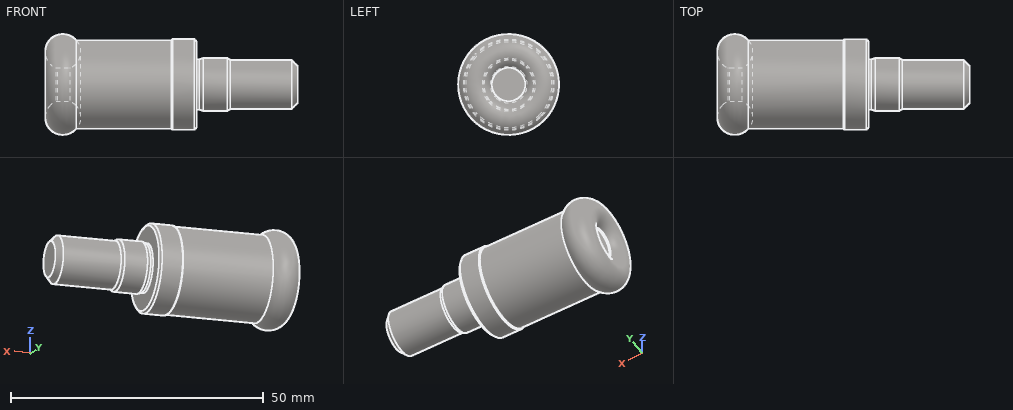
import cadquery as cq
import math

overall_length = 50.0

ring_outer_radius = 20.0 / 2
ring_tube_radius = 3.5
ring_centre_radius = ring_outer_radius - ring_tube_radius
ring_centre_x = ring_tube_radius

spigot_radius = 6.6 / 2
spigot_face_x = 2.4
head_radius = 17.6 / 2
collar_radius = 18.0 / 2
collar_start_x = 25.0
collar_end_x = 30.0
collar_rear_chamfer = 0.5
collar_front_chamfer = collar_radius - head_radius

neck_radius = 10.0 / 2
neck_length = 0.5
band_radius = 10.5 / 2
band_lead_in_length = 0.75
band_straight_end_x = 36.0
band_run_out_angle = math.radians(30)
shank_radius = 9.75 / 2
tip_chamfer = 1.25

band_lead_in_x = collar_end_x + neck_length
band_straight_start_x = band_lead_in_x + band_lead_in_length
shank_start_x = band_straight_end_x + (band_radius - shank_radius) / math.tan(band_run_out_angle)


def tube_half_width(radius):
    """Half the axial width of the ring's tube at a distance from the X axis."""
    return math.sqrt(ring_tube_radius**2 - (radius - ring_centre_radius) ** 2)


def revolve_about_x(profile):
    return profile.revolve(360, (0, 0, 0), (1, 0, 0))


def make_ring():
    profile = cq.Workplane("XY").center(ring_centre_x, ring_centre_radius).circle(ring_tube_radius)
    torus = profile.revolve(360, (0, -ring_centre_radius, 0), (1, -ring_centre_radius, 0))
    bore = cq.Workplane("YZ").circle(spigot_radius).extrude(2 * ring_tube_radius)
    return torus.cut(bore)


def make_stud():
    spigot_root_x = ring_centre_x + tube_half_width(spigot_radius)
    head_front_x = ring_centre_x + tube_half_width(head_radius)
    seat_bottom = (ring_centre_x + ring_tube_radius, ring_centre_radius)

    profile = (
        cq.Workplane("XY")
        .moveTo(spigot_face_x, 0)
        .lineTo(spigot_face_x, spigot_radius)
        .lineTo(spigot_root_x, spigot_radius)
        .threePointArc(seat_bottom, (head_front_x, head_radius))
        .lineTo(collar_start_x, head_radius)
        .lineTo(collar_start_x + collar_front_chamfer, collar_radius)
        .lineTo(collar_end_x - collar_rear_chamfer, collar_radius)
        .lineTo(collar_end_x, collar_radius - collar_rear_chamfer)
        .lineTo(collar_end_x, neck_radius)
        .lineTo(band_lead_in_x, neck_radius)
        .lineTo(band_straight_start_x, band_radius)
        .lineTo(band_straight_end_x, band_radius)
        .lineTo(shank_start_x, shank_radius)
        .lineTo(overall_length - tip_chamfer, shank_radius)
        .lineTo(overall_length, shank_radius - tip_chamfer)
        .lineTo(overall_length, 0)
        .close()
    )
    return revolve_about_x(profile)


ring = make_ring()
stud = make_stud()

result = cq.Compound.makeCompound([ring.val(), stud.val()])